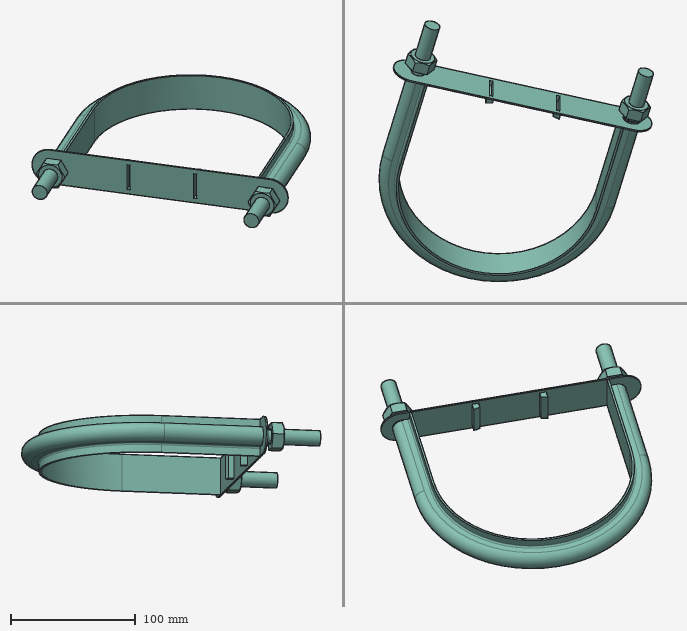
import cadquery as cq
import math


bend_radius = 88.5
bend_center_y = 82.0
thread_diameter = 12.5
core_diameter = 11.0
rod_end_y = -46.0
leg_sides = (-1, 1)

plate_length = 214.0
plate_height = 30.0
plate_thickness = 1.3
plate_offset_x = -1.5

slot_spacing = 55.5
slot_width = 2.7
slot_height = 22.0
louvre_wall = 1.3
louvre_outer_depth = 5.8
louvre_inner_depth = 4.5

sleeve_diameter = 15.2
band_thickness = 1.8
band_inner_offset = 8.0
sleeve_fillet = 1.3
spigot_diameter = 14.0
spigot_projection = 1.3
spigot_side = 1

nut_across_flats = 20.8
nut_height = 9.9
nut_back_y = -5.8
nut_chamfer_diameter = 19.7
nut_chamfer_angle = 30

sleeve_radius = sleeve_diameter / 2
louvre_width = slot_width + 2 * louvre_wall
nut_front_y = nut_back_y - nut_height


def leg_cylinder(side, diameter, start_y, end_y):
    """Round bar along Y, centred on one leg of the U."""
    return (
        cq.Workplane("XZ", origin=(side * bend_radius, end_y, 0))
        .circle(diameter / 2)
        .extrude(end_y - start_y)
    )


def u_path(start_y):
    """Centreline of the U, with both legs starting at start_y."""
    return (
        cq.Workplane("XY")
        .moveTo(-bend_radius, start_y)
        .lineTo(-bend_radius, bend_center_y)
        .threePointArc((0, bend_center_y + bend_radius), (bend_radius, bend_center_y))
        .lineTo(bend_radius, start_y)
    )


def make_rod():
    section = cq.Workplane("XZ", origin=(-bend_radius, nut_back_y, 0)).circle(core_diameter / 2)
    rod = section.sweep(u_path(nut_back_y))
    for side in leg_sides:
        rod = rod.union(leg_cylinder(side, thread_diameter, rod_end_y, nut_back_y))
    return rod


def make_liner(rod):
    band_outer = band_inner_offset - band_thickness
    fillet_end = sleeve_radius + sleeve_fillet
    fillet_top = band_outer - sleeve_fillet
    fillet_mid = sleeve_fillet * (1 - math.sqrt(0.5))
    half_band = plate_height / 2
    section = (
        cq.Workplane("XZ", origin=(-bend_radius, plate_thickness, 0))
        .moveTo(0, sleeve_radius)
        .lineTo(fillet_top, sleeve_radius)
        .threePointArc(
            (band_outer - fillet_mid, sleeve_radius + fillet_mid),
            (band_outer, fillet_end),
        )
        .lineTo(band_outer, half_band)
        .lineTo(band_inner_offset, half_band)
        .lineTo(band_inner_offset, -half_band)
        .lineTo(band_outer, -half_band)
        .lineTo(band_outer, -fillet_end)
        .threePointArc(
            (band_outer - fillet_mid, -sleeve_radius - fillet_mid),
            (fillet_top, -sleeve_radius),
        )
        .lineTo(0, -sleeve_radius)
        .threePointArc((-sleeve_radius, 0), (0, sleeve_radius))
        .close()
    )
    liner = section.sweep(u_path(plate_thickness))
    spigot = leg_cylinder(spigot_side, spigot_diameter, -spigot_projection, plate_thickness)
    return liner.union(spigot).cut(rod)


def slanted_block(side, width, height, base_depth):
    """Block behind the plate's front face; its end slants to follow the louvre, deeper outward."""
    slope = (louvre_outer_depth - louvre_inner_depth) / louvre_width
    depth_change = slope * width / 2
    center_x = side * slot_spacing / 2
    inner_x = center_x - side * width / 2
    outer_x = center_x + side * width / 2
    return (
        cq.Workplane("XY", origin=(0, 0, -height / 2))
        .moveTo(inner_x, 0)
        .lineTo(outer_x, 0)
        .lineTo(outer_x, base_depth + depth_change)
        .lineTo(inner_x, base_depth - depth_change)
        .close()
        .extrude(height)
    )


def make_plate():
    plate = (
        cq.Workplane("XZ", origin=(plate_offset_x, plate_thickness, 0))
        .slot2D(plate_length, plate_height)
        .extrude(plate_thickness)
    )
    louvre_depth = plate_thickness + (louvre_outer_depth + louvre_inner_depth) / 2
    louvre_height = slot_height + 2 * louvre_wall
    for side in leg_sides:
        louvre = slanted_block(side, louvre_width, louvre_height, louvre_depth)
        slot = slanted_block(side, slot_width, slot_height, louvre_depth - louvre_wall)
        hole_diameter = spigot_diameter if side == spigot_side else core_diameter
        leg_hole = leg_cylinder(side, hole_diameter, 0, plate_thickness)
        plate = plate.union(louvre).cut(slot).cut(leg_hole)
    return plate


def make_nut(side):
    across_corners = nut_across_flats / math.cos(math.pi / 6)
    hexagon = (
        cq.Workplane("XZ", origin=(side * bend_radius, nut_back_y, 0))
        .polygon(6, across_corners)
        .extrude(nut_height)
    )
    taper = math.tan(math.radians(nut_chamfer_angle))
    back_radius = nut_chamfer_diameter / 2 + nut_height / taper
    cone = cq.Workplane(
        cq.Solid.makeCone(
            back_radius,
            nut_chamfer_diameter / 2,
            nut_height,
            cq.Vector(side * bend_radius, nut_back_y, 0),
            cq.Vector(0, -1, 0),
        )
    )
    bore = leg_cylinder(side, thread_diameter, nut_front_y, nut_back_y)
    return hexagon.intersect(cone).cut(bore)


rod = make_rod()
liner = make_liner(rod)
plate = make_plate()
nuts = [make_nut(side) for side in leg_sides]

result = cq.Compound.makeCompound(
    [rod.val(), liner.val(), plate.val(), *[nut.val() for nut in nuts]]
)